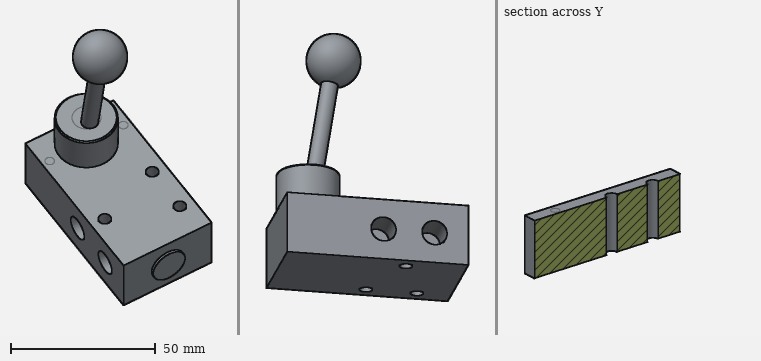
import cadquery as cq
import math

block_length = 64.0
block_width = 36.0
block_height = 22.0

boss_diameter = 22.0
boss_height = 14.0
boss_chamfer = 0.5
boss_x = boss_diameter / 2
boss_top = block_height + boss_height

bush_diameter = 10.0

overall_height = 88.39
lever_diameter = 6.0
lever_tilt = 9.0
knob_diameter = 19.0

port_diameter = 8.8
port_depth = 12.0
port_z = block_height / 2
port_pitch = 18.0
first_port_x = 34.0
port_xs = (first_port_x, first_port_x + port_pitch)

mount_diameter = 4.5
mount_y = 12.5
mount_points = [
    (port_xs[0], mount_y),
    (port_xs[1], mount_y),
    (first_port_x + port_pitch / 2, -mount_y),
]

pin_diameter = 3.3
pin_y = 15.0
pin_points = [(boss_x, -pin_y), (boss_x, pin_y)]

insert_length = 5.0

plug_diameter = 13.0
plug_thickness = 1.0


def vertical_cylinders(points, diameter, top_z, length):
    """Upright cylinders hanging down from top_z."""
    return (
        cq.Workplane("XY", origin=(0, 0, top_z - length))
        .pushPoints(points)
        .circle(diameter / 2)
        .extrude(length)
    )


def make_block():
    block = cq.Workplane("XY").box(
        block_length, block_width, block_height, centered=(False, True, False)
    )
    plug = (
        cq.Workplane("YZ", origin=(block_length, 0, port_z))
        .circle(plug_diameter / 2)
        .extrude(plug_thickness)
    )
    mount_holes = vertical_cylinders(mount_points, mount_diameter, block_height, block_height)
    return block.union(plug).cut(mount_holes).cut(make_port_holes())


def make_port_holes():
    return (
        cq.Workplane("XZ", origin=(0, -block_width / 2, 0))
        .pushPoints([(x, port_z) for x in port_xs])
        .circle(port_diameter / 2)
        .extrude(-port_depth)
    )


def make_boss():
    boss = vertical_cylinders([(boss_x, 0)], boss_diameter, boss_top, boss_height)
    return boss.faces(">Z").chamfer(boss_chamfer)


def make_lever():
    tilt = math.radians(lever_tilt)
    knob_rise = overall_height - knob_diameter / 2 - block_height
    lever_length = knob_rise / math.cos(tilt)
    pivot = cq.Vector(boss_x, 0, block_height)
    axis = cq.Vector(math.sin(tilt), 0, math.cos(tilt))
    rod = cq.Solid.makeCylinder(lever_diameter / 2, lever_length, pivot, axis)
    knob = cq.Workplane("XY").sphere(knob_diameter / 2).translate(pivot + axis * lever_length)
    return knob.union(cq.Workplane(rod))


body = make_block().union(make_boss()).union(make_lever())
pins = vertical_cylinders(pin_points, pin_diameter, block_height, insert_length)
bush = vertical_cylinders([(boss_x, 0)], bush_diameter, boss_top, insert_length)

result = body.union(pins, clean=False).union(bush, clean=False)